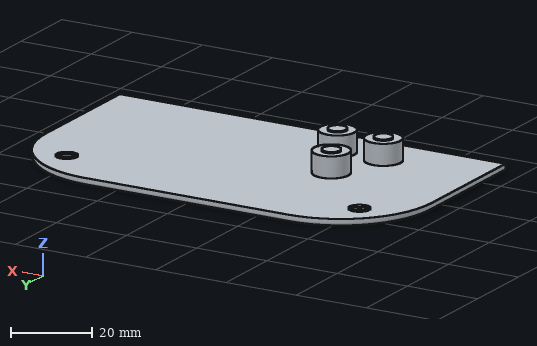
import cadquery as cq

plate_length = 110.0
plate_width = 62.0
plate_thickness = 2.0
corner_radius = 26.0
bottom_edge_radius = 0.9

hole_diameter = 5.5
hole_edge_offset = 13.3
counterbore_diameter = 10.0
counterbore_depth = 1.4

boss_diameter = 9.7
boss_height = 5.7
tip_diameter = 4.8
total_height = 8.0
tip_height = total_height - plate_thickness - boss_height
front_boss_y = 12.6
rear_boss_y = 27.7
left_boss_x = 27.5
right_boss_x = 40.6
rear_boss_x = 33.5
boss_centers = [
    (left_boss_x, front_boss_y),
    (right_boss_x, front_boss_y),
    (rear_boss_x, rear_boss_y),
]


def make_plate():
    """Plate with its front left corner at the origin, rounded at the rear."""
    plate = cq.Workplane("XY").box(plate_length, plate_width, plate_thickness, centered=False)
    plate = plate.edges("|Z and >Y").fillet(corner_radius)
    return plate.edges("<Z").edges("not <Y").fillet(bottom_edge_radius)


def make_mounting_holes():
    """Cutters for the counterbored holes near the rounded corners."""
    hole_y = plate_width - hole_edge_offset
    centers = [(hole_edge_offset, hole_y), (plate_length - hole_edge_offset, hole_y)]
    base = cq.Workplane("XY").pushPoints(centers)
    holes = base.circle(hole_diameter / 2).extrude(plate_thickness)
    counterbores = base.circle(counterbore_diameter / 2).extrude(counterbore_depth)
    return holes.union(counterbores)


def make_bosses():
    """Round bosses, each with a low, narrower disc on top."""
    bodies = (
        cq.Workplane("XY", origin=(0, 0, plate_thickness))
        .pushPoints(boss_centers)
        .circle(boss_diameter / 2)
        .extrude(boss_height)
    )
    tips = (
        cq.Workplane("XY", origin=(0, 0, plate_thickness + boss_height))
        .pushPoints(boss_centers)
        .circle(tip_diameter / 2)
        .extrude(tip_height)
    )
    return bodies.union(tips)


result = make_plate().cut(make_mounting_holes()).union(make_bosses())